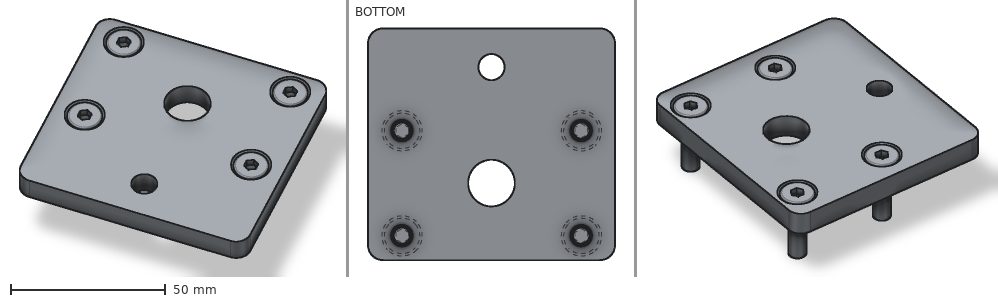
import cadquery as cq

plate_length = 80.0
plate_width = 75.0
plate_thickness = 8.0
corner_radius = 5.0

large_hole_diameter = 15.0
large_hole_y = 12.6
small_hole_diameter = 8.4
small_hole_y = -25.0

screw_spacing_x = 58.0
screw_spacing_y = 34.0
screw_positions = [
    (side_x * screw_spacing_x / 2, large_hole_y + side_y * screw_spacing_y / 2)
    for side_x in (-1, 1)
    for side_y in (-1, 1)
]

screw_length = 25.0
shank_diameter = 6.0
head_edge_radius = 0.6
tip_chamfer = 0.4
hex_across_flats = 4.0
hex_depth = 2.5

clearance_diameter = 7.0
countersink_diameter = 13.0
countersink_angle = 90.0
head_depth = (countersink_diameter - shank_diameter) / 2


def make_plate():
    """Rounded plate with two through holes and four countersunk holes."""
    plate = (
        cq.Workplane("XY")
        .box(plate_length, plate_width, plate_thickness, centered=(True, True, False))
        .translate((0, 0, -plate_thickness))
        .edges("|Z")
        .fillet(corner_radius)
    )
    for diameter, y in (
        (large_hole_diameter, large_hole_y),
        (small_hole_diameter, small_hole_y),
    ):
        plate = plate.faces(">Z").workplane(origin=(0, y, 0)).hole(diameter)
    return (
        plate.faces(">Z")
        .workplane(origin=(0, 0, 0))
        .pushPoints(screw_positions)
        .cskHole(clearance_diameter, countersink_diameter, countersink_angle)
    )


def make_screw(x, y):
    """Countersunk screw with a rounded head edge and its head top flush with the plate."""
    shank_radius = shank_diameter / 2
    body = (
        cq.Workplane("XZ")
        .moveTo(0, 0)
        .lineTo(countersink_diameter / 2, 0)
        .lineTo(shank_radius, -head_depth)
        .lineTo(shank_radius, tip_chamfer - screw_length)
        .lineTo(shank_radius - tip_chamfer, -screw_length)
        .lineTo(0, -screw_length)
        .close()
        .revolve(360, (0, 0, 0), (0, 1, 0))
        .faces(">Z")
        .edges()
        .fillet(head_edge_radius)
    )
    socket = (
        cq.Workplane("XY")
        .polygon(6, hex_across_flats, circumscribed=True)
        .extrude(-hex_depth)
    )
    return body.cut(socket).translate((x, y, 0))


plate = make_plate()
screws = [make_screw(x, y) for x, y in screw_positions]
result = cq.Compound.makeCompound([plate.val(), *[screw.val() for screw in screws]])